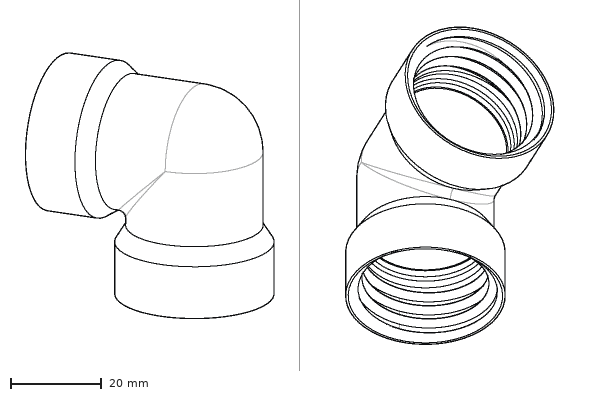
import cadquery as cq
import math

COLLAR_DIAMETER = 35.23
OVERALL_LENGTH = 50.54
LEG_LENGTH = OVERALL_LENGTH - COLLAR_DIAMETER / 2

BORE_DIAMETER = 26.38
TUBE_WALL = 2.0
TUBE_DIAMETER = BORE_DIAMETER + 2 * TUBE_WALL
CROTCH_FILLET = 1.8
MITRE_TOLERANCE = 0.01

COLLAR_LENGTH = 12.07
SHOULDER_LENGTH = 3.86

MOUTH_RADIUS = 17.04
THREAD_ROOT_RADIUS = 31.75 / 2
THREAD_CREST_RADIUS = 28.04 / 2
SEAL_RADIUS = 27.04 / 2
THREAD_DEPTH = 12.98
TAPER_START_DEPTH = 14.85
TAPER_END_DEPTH = 15.68
SEAL_DEPTH = 17.36
COUNTERSINK_DEPTH = 4.0

THREAD_PITCH = 25.4 / 7
FLANK_ANGLE = 30
CREST_WIDTH = 0.1
THREAD_TURNS = 5
THREAD_START = -2.66
RIDGE_EMBED = 0.3


def revolved(outline):
    """Revolve (radius, z) points, closed through the Z axis, into a solid."""
    points = [(0, outline[0][1]), *outline, (0, outline[-1][1])]
    return cq.Workplane("XZ").polyline(points).close().revolve(360, (0, 0), (0, 1))


def lay_along_x(shape):
    """Turn a shape built along +Z from the -Z leg onto the -X leg."""
    return shape.rotate((0, 0, 0), (0, 1, 0), 90)


def thread_ridge():
    """Helical ridge whose base is sunk slightly outside the root cylinder."""
    base_radius = THREAD_ROOT_RADIUS + RIDGE_EMBED
    half_crest = CREST_WIDTH / 2
    half_base = half_crest + (base_radius - THREAD_CREST_RADIUS) * math.tan(math.radians(FLANK_ANGLE))
    path = cq.Wire.makeHelix(THREAD_PITCH, THREAD_TURNS * THREAD_PITCH, THREAD_CREST_RADIUS)
    ridge = (
        cq.Workplane("XZ")
        .polyline(
            [
                (base_radius, -half_base),
                (THREAD_CREST_RADIUS, -half_crest),
                (THREAD_CREST_RADIUS, half_crest),
                (base_radius, half_base),
            ]
        )
        .close()
        .sweep(cq.Workplane(path), isFrenet=True)
    )
    return ridge.translate((0, 0, THREAD_START))


def threaded_void():
    """Root cylinder less the ridge, cut off square at the mouth and at the thread shoulder."""
    plane = cq.Workplane("XY")
    long_root = plane.circle(THREAD_ROOT_RADIUS).extrude(2 * THREAD_DEPTH, both=True)
    threaded_length = plane.circle(COLLAR_DIAMETER / 2).extrude(THREAD_DEPTH)
    return long_root.cut(thread_ridge()).intersect(threaded_length)


def socket_cavity():
    """Threaded socket void with its mouth at z = 0, going into the part along +Z."""
    countersink = revolved([(MOUTH_RADIUS, 0), (MOUTH_RADIUS - COUNTERSINK_DEPTH, COUNTERSINK_DEPTH)])
    stepped_bore = revolved(
        [
            (THREAD_CREST_RADIUS, THREAD_DEPTH),
            (THREAD_CREST_RADIUS, TAPER_START_DEPTH),
            (SEAL_RADIUS, TAPER_END_DEPTH),
            (SEAL_RADIUS, SEAL_DEPTH),
        ]
    )
    return threaded_void().union(countersink).union(stepped_bore)


def round_elbow(diameter):
    """Two round legs meeting in a mitre, with a ball closing the outside of the bend."""
    leg = cq.Workplane("XY").workplane(offset=-LEG_LENGTH).circle(diameter / 2).extrude(LEG_LENGTH)
    return leg.union(lay_along_x(leg)).union(cq.Workplane("XY").sphere(diameter / 2))


def collar():
    """Outside of a socket: a cylinder and a conical shoulder down to the tube."""
    collar_radius = COLLAR_DIAMETER / 2
    tube_radius = TUBE_DIAMETER / 2
    return revolved(
        [
            (collar_radius, 0),
            (collar_radius, COLLAR_LENGTH),
            (tube_radius, COLLAR_LENGTH + SHOULDER_LENGTH),
        ]
    )


def at_mouth(shape):
    """Move a shape with its mouth at z = 0 to the end of the -Z leg."""
    return shape.translate((0, 0, -LEG_LENGTH))


def fillet_crotch(elbow):
    """Round the mitre edge on the inside of the bend."""
    reach = COLLAR_DIAMETER
    inside = cq.selectors.BoxSelector((-reach, -reach, -reach), (-CROTCH_FILLET, reach, -CROTCH_FILLET))
    mitre = [
        edge
        for edge in elbow.edges(inside).vals()
        if edge.geomType() != "LINE" and abs(edge.Center().x - edge.Center().z) < MITRE_TOLERANCE
    ]
    return elbow.newObject(mitre).fillet(CROTCH_FILLET)


tube = fillet_crotch(round_elbow(TUBE_DIAMETER))
bore = fillet_crotch(round_elbow(BORE_DIAMETER))
outer_collar = at_mouth(collar())
cavity = at_mouth(socket_cavity())

body = tube.union(outer_collar).union(lay_along_x(outer_collar))
body = body.cut(bore)
result = body.cut(cavity).cut(lay_along_x(cavity))